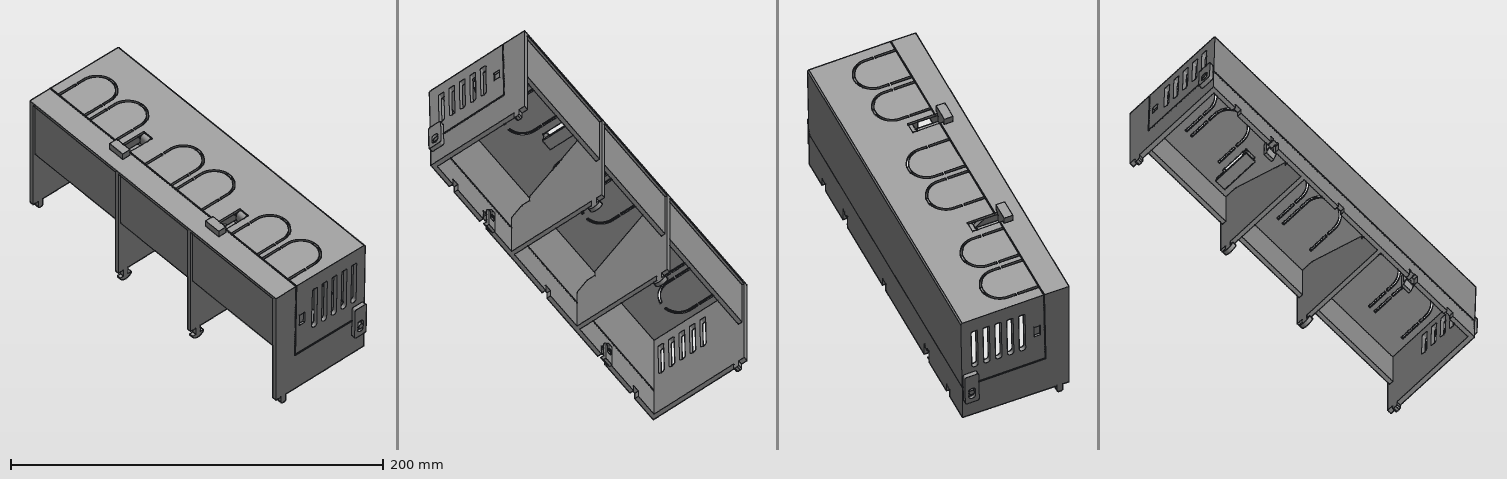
import cadquery as cq
import math


length = 200.6
height = 76.8
base_depth = 62.8
end_wall = 2.7
top_wall = 1.9
back_wall = 2.5
inner_length = length - 2 * end_wall
back_inner_y = base_depth - back_wall

lid_tilt = 1.0
lean = math.tan(math.radians(lid_tilt))
lid_corner_y = 14.0
lid_corner_z = 25.3
lid_depth = 49.0
lid_back_chamfer = 0.8
lid_top_y = lid_corner_y + lean * (height - lid_corner_z)
lid_back_y = lid_corner_y + lid_depth
lid_back_z = lid_corner_z - lean * lid_depth
lid_rear_top_y = 63.9
lid_rear_top_z = height - lean * lid_depth
joint_gap = 0.5
joint_depth = 0.6

panel_recess = 1.5
panel_thickness = 2.5
panel_bottom_z = 37.3

divider_x = 29.5
divider_thickness = 2.5
divider_top_z = height - top_wall
divider_top_depth = 11.1
divider_ledge_y = 48.5
divider_slope_end_z = 44.0
divider_ledge_z = 40.2
divider_ledge_back_y = 53.5
divider_back_z = 34.5
foot_y = 5.4
foot_stem = 3.3
foot_head = 7.8
foot_head_z = -4.5
foot_bottom_z = -7.6
foot_shoulder = 0.8
stub_bottom_z = -5.2
stub_chamfer = 0.8

hook_x = 52.7
hook_width = 5.5
hook_front_y = 57.0
hook_thickness = 1.6
hook_tip_y = 60.8
hook_tip_z = -3.5
hook_bottom_z = -7.6
hook_top_z = 8.5
hook_top_radius = 1.5
lug_width = 2.7
lug_projection = 1.0
lug_radius = 2.7
lug_top_z = 9.9
lug_bottom_z = 0.6
lug_step_z = 3.5
lug_taper_z = 2.0
relief_inner_x = 50.3
relief_outer_x = 56.2
notch_width = 4.3
notch_height = 5.4
notch_positions = (-81.4, 2.3, 81.4)

arch_group_pitch = 70.5
arch_offset = 12.5
arch_half_width = 10.5
arch_groove = 1.2
arch_front_y = lid_top_y
arch_centre_y = 33.0
arch_leg_bridge_y = 27.6
arch_leg_bridge = 1.2
arch_apex_bridge = 4.0
arch_apex_drop = 0.8

latch_x = 39.1
tab_width = 10.7
tab_front_y = 8.0
tab_depth = 5.2
tab_rise = 4.1
pocket_width = 7.0
pocket_back_y = 31.0
arm_drop = 5.8
arm_thickness = 2.5
arm_width = 5.5
arm_end_y = 25.8
arm_ledge = 1.0
head_front_y = 27.6
head_back_y = 30.7
head_drop = 0.8
head_radius = 2.5

slot_count = 5
slot_width = 3.7
slot_pitch = 7.0
slot_first_y = 27.6
slot_top_z = 66.3
slot_length = 28.6
slot_corner = 0.8

snap_y = 18.7
snap_z = 49.5
snap_width = 3.7
snap_height = 7.5
snap_depth = 1.2

clip_y = 58.3
clip_z = 23.5
clip_width = 8.2
clip_height = 21.2
clip_thickness = 2.5
clip_corner = 1.2
clip_slot_width = 4.0
clip_slot_height = 7.8
clip_slot_z = 20.0
clip_slot_depth = 1.6
pin_diameter = 3.3
pin_rise_left = 1.0
pin_rise_right = 2.0


def block(x0, x1, y0, y1, z0, z1):
    """Axis-aligned block between two corners."""
    return cq.Workplane("XY").box(x1 - x0, y1 - y0, z1 - z0, centered=False).translate((x0, y0, z0))


def centred_block(x, width, y0, y1, z0, z1):
    return block(x - width / 2, x + width / 2, y0, y1, z0, z1)


def side_profile(points, x, thickness):
    """Prism with a closed YZ outline, centred on x."""
    return cq.Workplane("YZ").polyline(points).close().extrude(thickness / 2, both=True).translate((x, 0, 0))


def make_shell():
    outline = [
        (0, 0),
        (base_depth, 0),
        (base_depth, lid_back_z),
        (lid_back_y, lid_back_z),
        (lid_rear_top_y, lid_rear_top_z - lid_back_chamfer),
        (lid_rear_top_y - lid_back_chamfer, lid_rear_top_z),
        (lid_top_y, height),
        (0, height),
    ]
    cavity = centred_block(0, inner_length, 0, back_inner_y, 0, height - top_wall)
    panel_back_y = panel_recess + panel_thickness
    panel = centred_block(0, inner_length, panel_recess, panel_back_y, panel_bottom_z, height - top_wall)
    return side_profile(outline, 0, length).cut(cavity).union(panel)


def make_joint():
    """Shallow groove where the lid meets the base, plus its trace inside the back wall."""
    end_y = lid_rear_top_y
    end_z = lid_corner_z - lean * (end_y - lid_corner_y)
    outline = [
        (lid_top_y, height),
        (lid_corner_y, lid_corner_z),
        (end_y, end_z),
        (end_y, end_z - joint_gap),
        (lid_corner_y - joint_gap, lid_corner_z - joint_gap),
        (lid_top_y - joint_gap, height),
    ]
    core = centred_block(
        0, length - 2 * joint_depth, 0, base_depth - joint_depth, 0, height - joint_depth
    )
    trace = centred_block(
        0, inner_length, back_inner_y, back_inner_y + joint_depth, lid_back_z - joint_gap, lid_back_z
    )
    return side_profile(outline, 0, length).cut(core).union(trace)


def make_arch(x):
    """Groove around one knock-out, interrupted by bridges on both legs and at the apex."""

    def arch_face(half_width):
        return (
            cq.Workplane("XY")
            .moveTo(-half_width, arch_front_y)
            .lineTo(-half_width, arch_centre_y)
            .threePointArc((0, arch_centre_y + half_width), (half_width, arch_centre_y))
            .lineTo(half_width, arch_front_y)
            .close()
            .extrude(height)
        )

    outer = arch_half_width + arch_groove / 2
    groove = arch_face(outer).cut(arch_face(outer - arch_groove))
    bridge_front = arch_leg_bridge_y - arch_leg_bridge / 2
    legs = centred_block(0, 2 * outer, bridge_front, bridge_front + arch_leg_bridge, 0, height)
    apex_top_z = height - arch_apex_drop
    apex = centred_block(0, arch_apex_bridge, arch_centre_y, arch_centre_y + outer, 0, apex_top_z)
    return groove.cut(legs).cut(apex).translate((x, 0, 0))


def make_slot(y):
    """Vent through both ends: small corners at the top, fully round at the bottom."""
    radius = slot_width / 2
    return (
        cq.Workplane("YZ")
        .moveTo(-radius, -slot_length + radius)
        .threePointArc((0, -slot_length), (radius, -slot_length + radius))
        .lineTo(radius, -slot_corner)
        .radiusArc((radius - slot_corner, 0), -slot_corner)
        .lineTo(-radius + slot_corner, 0)
        .radiusArc((-radius, -slot_corner), -slot_corner)
        .close()
        .extrude(length / 2, both=True)
        .rotate((0, 0, -slot_length / 2), (1, 0, -slot_length / 2), -lid_tilt)
        .translate((0, y, slot_top_z))
    )


def make_divider(x):
    outline = [
        (0, 0),
        (back_inner_y, 0),
        (back_inner_y, divider_back_z),
        (divider_ledge_back_y, divider_ledge_z),
        (divider_ledge_y, divider_ledge_z),
        (divider_ledge_y, divider_slope_end_z),
        (divider_top_depth, divider_top_z),
        (0, divider_top_z),
    ]
    return side_profile(outline, x, divider_thickness)


def make_foot(x):
    """Mushroom-shaped snap foot below a divider."""
    stem = foot_stem / 2
    head = foot_head / 2
    return (
        cq.Workplane("YZ")
        .moveTo(-stem, 0)
        .lineTo(-stem, foot_head_z)
        .lineTo(-head, foot_head_z)
        .lineTo(-head, foot_head_z - foot_shoulder)
        .threePointArc((0, foot_bottom_z), (head, foot_head_z - foot_shoulder))
        .lineTo(head, foot_head_z)
        .lineTo(stem, foot_head_z)
        .lineTo(stem, 0)
        .close()
        .extrude(divider_thickness / 2, both=True)
        .translate((x, foot_y, 0))
    )


def make_stub(x):
    """Plain chamfered foot below an end wall."""
    stub = centred_block(x, end_wall, foot_y - foot_stem / 2, foot_y + foot_stem / 2, stub_bottom_z, 0)
    return stub.faces("<Z").edges("|X").chamfer(stub_chamfer)


def make_hook(x):
    """Barbed rear hook hung from the back wall by a lug."""
    hook_back_y = hook_front_y + hook_thickness
    outline = [
        (hook_front_y, hook_top_z),
        (hook_front_y, hook_bottom_z),
        (hook_back_y, hook_bottom_z),
        (hook_tip_y, hook_tip_z),
        (hook_back_y, hook_tip_z),
        (hook_back_y, hook_top_z),
    ]
    hook = side_profile(outline, x, hook_width)
    hook = hook.faces(">Z").edges("<Y").fillet(hook_top_radius)
    return hook.union(make_lug(x))


def make_lug(x):
    """Rib over the hook: round at the upper front, stepped and tapered at its lower end."""
    front_y = hook_front_y - lug_projection
    step_y = hook_front_y - lug_projection / 2
    under_z = hook_top_z - hook_thickness
    return (
        cq.Workplane("YZ")
        .moveTo(base_depth, lug_top_z)
        .lineTo(front_y + lug_radius, lug_top_z)
        .radiusArc((front_y, lug_top_z - lug_radius), -lug_radius)
        .lineTo(front_y, lug_step_z)
        .lineTo(step_y, lug_step_z)
        .lineTo(step_y, lug_taper_z)
        .lineTo(hook_front_y, lug_bottom_z)
        .lineTo(hook_front_y + hook_thickness, lug_bottom_z)
        .lineTo(hook_front_y + hook_thickness, under_z)
        .lineTo(base_depth, under_z)
        .close()
        .extrude(lug_width / 2, both=True)
        .translate((x, 0, 0))
    )


def make_latch(x):
    """Raised tab on a post, with an arm below the lid pocket ending in a rounded head."""
    tab_back_y = tab_front_y + tab_depth
    arm_top = height - arm_drop
    arm_bottom = arm_top - arm_thickness
    tab = centred_block(x, tab_width, tab_front_y, tab_back_y, height, height + tab_rise)
    post = centred_block(x, arm_width, tab_front_y, tab_back_y, arm_bottom, height)
    arm = centred_block(x, arm_width, tab_front_y, arm_end_y, arm_bottom, arm_top)
    ledge = centred_block(x, pocket_width, tab_front_y, pocket_back_y, arm_bottom, arm_top - arm_ledge)
    head = (
        cq.Workplane("YZ")
        .moveTo(head_front_y, arm_bottom)
        .lineTo(head_front_y, height - head_drop - head_radius)
        .radiusArc((head_front_y + head_radius, height - head_drop), head_radius)
        .lineTo(head_back_y, height - head_drop)
        .lineTo(head_back_y, arm_bottom)
        .close()
        .extrude(arm_width / 2, both=True)
        .translate((x, 0, 0))
    )
    return tab.union(post).union(arm).union(ledge).union(head)


def make_pocket(x):
    return centred_block(x, pocket_width, tab_front_y + tab_depth, pocket_back_y, height - top_wall, height)


def make_clip(side, pin_rise):
    """Rounded plate on one end with a slotted recess holding a round pin (side is -1 or +1)."""
    floor_offset = clip_thickness - clip_slot_depth
    slot_drop = clip_slot_z - clip_z
    plate = (
        cq.Workplane("YZ")
        .rect(clip_width, clip_height)
        .extrude(side * clip_thickness)
        .edges("|X")
        .fillet(clip_corner)
    )
    recess = (
        cq.Workplane("YZ", origin=(side * floor_offset, 0, slot_drop))
        .slot2D(clip_slot_height, clip_slot_width, 90)
        .extrude(side * clip_slot_depth)
    )
    pin = (
        cq.Workplane("YZ", origin=(side * floor_offset, 0, slot_drop))
        .circle(pin_diameter / 2)
        .extrude(side * pin_rise)
    )
    clip = plate.cut(recess).union(pin)
    return clip.rotate((0, 0, 0), (1, 0, 0), -lid_tilt).translate((side * length / 2, clip_y, clip_z))


def make_snap_recess(side):
    x = side * (length / 2 - snap_depth / 2)
    recess = cq.Workplane("XY").box(snap_depth, snap_width, snap_height)
    return recess.rotate((0, 0, 0), (1, 0, 0), -lid_tilt).translate((x, snap_y, snap_z))


body = make_shell().cut(make_joint())

for group in (-1, 0, 1):
    for side in (-1, 1):
        body = body.cut(make_arch(group * arch_group_pitch + side * arch_offset))

for index in range(slot_count):
    body = body.cut(make_slot(slot_first_y + index * slot_pitch))

for x in notch_positions:
    body = body.cut(centred_block(x, notch_width, back_inner_y, base_depth, 0, notch_height))

for side in (-1, 1):
    relief_middle = side * (relief_inner_x + relief_outer_x) / 2
    relief_width = relief_outer_x - relief_inner_x
    body = body.cut(centred_block(relief_middle, relief_width, back_inner_y, base_depth, 0, hook_top_z))
    body = body.cut(make_pocket(side * latch_x))
    body = body.cut(make_snap_recess(side))
    body = body.union(make_hook(side * hook_x))
    body = body.union(make_latch(side * latch_x))
    body = body.union(make_divider(side * divider_x))
    body = body.union(make_foot(side * divider_x))
    body = body.union(make_stub(side * (length - end_wall) / 2))

body = body.union(make_clip(-1, pin_rise_left))
body = body.union(make_clip(1, pin_rise_right))

result = body